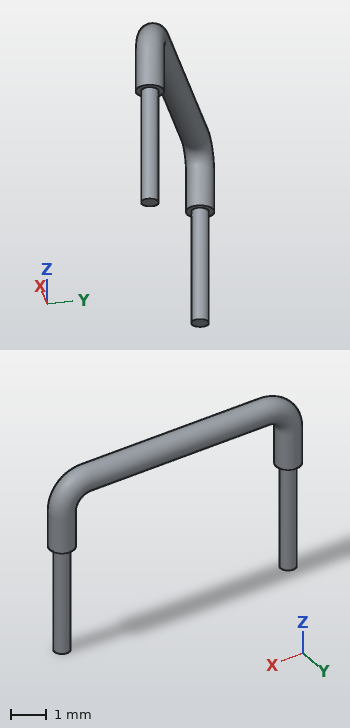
import cadquery as cq
import math

span = 8.42
sleeve_diameter = 0.8
bend_radius = 0.8
sleeve_leg = 1.2
pin_diameter = 0.5
pin_length = 3.5

leg_x = (span - sleeve_diameter) / 2
bend_x = leg_x - bend_radius
bridge_z = sleeve_leg + bend_radius


def make_sleeve():
    """Round U-shaped jumper body, swept along its centreline."""
    bend_mid_offset = bend_radius * math.sqrt(0.5)
    bend_mid_x = bend_x + bend_mid_offset
    bend_mid_z = sleeve_leg + bend_mid_offset
    centreline = (
        cq.Workplane("XZ")
        .moveTo(-leg_x, 0)
        .lineTo(-leg_x, sleeve_leg)
        .threePointArc((-bend_mid_x, bend_mid_z), (-bend_x, bridge_z))
        .lineTo(bend_x, bridge_z)
        .threePointArc((bend_mid_x, bend_mid_z), (leg_x, sleeve_leg))
        .lineTo(leg_x, 0)
    )
    return cq.Workplane("XY").center(-leg_x, 0).circle(sleeve_diameter / 2).sweep(centreline)


def make_pin(x):
    """Straight round pin hanging from one lower end of the sleeve."""
    return cq.Workplane("XY").center(x, 0).circle(pin_diameter / 2).extrude(-pin_length)


sleeve = make_sleeve()
pins = [make_pin(x) for x in (-leg_x, leg_x)]

result = cq.Compound.makeCompound([sleeve.val(), *[pin.val() for pin in pins]])